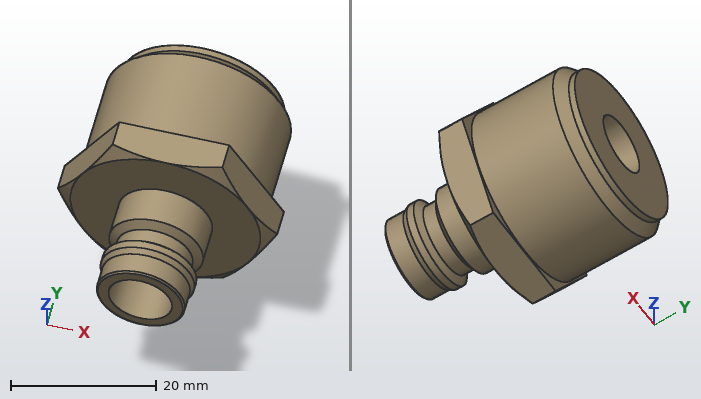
import cadquery as cq
import math

total_length = 35.0
bore_radius = 4.5

tip_radius = 6.25
tip_chamfer = 0.25
shank_radius = 6.7
groove_radius = 5.42
tip_end = 3.15
collar_start = 4.0
collar_end = 5.15
groove_start = 5.88
groove_end = 7.98
shank_start = 8.82

hex_across_flats = 27.0
hex_across_corners = hex_across_flats / math.cos(math.pi / 6)
hex_start = 14.0
hex_thickness = 5.0
hex_end = hex_start + hex_thickness
hex_chamfer_angle = math.radians(30)

body_radius = 13.2
body_end_radius = 11.65
body_taper_start = 32.4
body_taper_end = 34.02


def revolve_about_y(points):
    """Revolve a closed (radius, Y) outline around the part axis."""
    return cq.Workplane("XY").polyline(points).close().revolve(360, (0, 0, 0), (0, 1, 0))


def make_turned_body():
    return revolve_about_y([
        (0, 0),
        (tip_radius - tip_chamfer, 0),
        (tip_radius, tip_chamfer),
        (tip_radius, tip_end),
        (shank_radius, collar_start),
        (shank_radius, collar_end),
        (groove_radius, groove_start),
        (groove_radius, groove_end),
        (shank_radius, shank_start),
        (shank_radius, hex_start),
        (body_radius, hex_start),
        (body_radius, body_taper_start),
        (body_end_radius, body_taper_end),
        (body_end_radius, total_length),
        (0, total_length),
    ])


def make_hexagon():
    """Hexagon with corners on X, its nipple-side corners cut by a cone."""
    prism = (
        cq.Workplane("XZ", origin=(0, hex_start, 0))
        .polygon(6, hex_across_corners)
        .extrude(-hex_thickness)
    )
    cone_radius = hex_across_flats / 2
    cone_end_radius = cone_radius + hex_thickness / math.tan(hex_chamfer_angle)
    cone = revolve_about_y([
        (0, hex_start),
        (cone_radius, hex_start),
        (cone_end_radius, hex_end),
        (0, hex_end),
    ])
    return prism.intersect(cone)


bore = cq.Workplane("XZ").circle(bore_radius).extrude(-total_length)
result = make_turned_body().union(make_hexagon()).cut(bore)